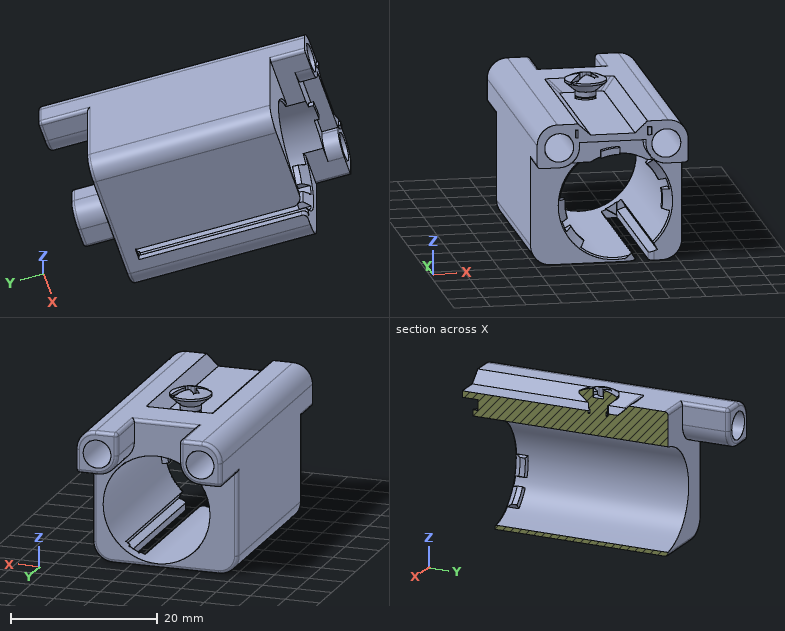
import cadquery as cq
import math

block_width = 21.0
block_height = 20.97
corner_radius = 2.8
rail_end = 38.25
body_start = 4.95
body_end = 31.23
edge_radius = 0.5
overrun = 0.4
tolerance = 0.005

hole_x = 7.45
hole_z = 17.75
hole_radius = 2.0
front_gap = 4.63
rear_gap = 4.47
web_bottom = 18.35
recess_depth = 2.3

trough_floor_z = 19.35
trough_floor_half = 3.1
trough_slope_width = 1.75
trough_floor_end = 23.6
trough_corner_radius = 0.65
trough_depth = block_height - trough_floor_z

bore_x = 1.27
bore_z = 8.3
bore_radius = 7.7
bore_chamfer = 0.25

tooth_tip_radius = 6.8
tooth_root_radius = bore_radius + bore_chamfer
tooth_length = 1.95
tooth_angles = [(-11, 12), (24, 48), (175, 198), (209, 232)]

key_left = -1.3
key_right = bore_x
key_radius = 8.67
key_height = 0.7

slot_outline = [(4.28, 0), (2.95, 2.3), (5.95, 2.3), (5.95, 0)]
slot_wall = 2.3
slot_end = body_end - slot_wall
left_lip_radius = 1.35
right_lip_radius = 0.7
groove_outline = [(5.95, 1.08), (7.1, 1.5), (6.63, 2.4), (5.95, 3.1)]
slot_step_outline = [(4.4, 1.25), (5.95, 0.3), (5.95, 2.5)]
slot_step_depth = 0.4

screw_y = 20.6
screw_top = 22.75
head_radius = 2.9
head_rim_top = 21.97
head_rim_bottom = 21.65
neck_radius = 1.45
neck_top = 20.45
neck_bottom = 19.7
shank_radius = 1.27
clearance_depth = 0.4
drive_arm_length = 1.77
slot_side_arm_length = 1.4
drive_width = 0.85
drive_corner_radius = 0.4
drive_floor_z = 21.4
driver_slot_floor_z = 21.85

index_pads = [(-5.0, 0.3), (5.1, 0.58)]
pad_z = 19.62
pad_height = 1.08
pad_thickness = 0.3


def box(x0, x1, y0, y1, z0, z1):
    """Axis-aligned box between opposite corners."""
    return cq.Workplane("XY").box(x1 - x0, y1 - y0, z1 - z0, centered=False).translate((x0, y0, z0))


def at_y(y):
    """Sketch plane across the part; local x, y are the part's X, Z and -Y is its normal."""
    return cq.Workplane(cq.Plane((0, y, 0), xDir=(1, 0, 0), normal=(0, -1, 0)))


def rod(x, z, radius, y0, y1):
    """Cylinder along Y."""
    return at_y(y0).center(x, z).circle(radius).extrude(y0 - y1)


def cone(start_radius, end_radius, length, y0):
    """Truncated cone about the bore axis, starting at Y = y0."""
    return cq.Workplane(cq.Solid.makeCone(
        start_radius, end_radius, length,
        pnt=cq.Vector(bore_x, y0, bore_z), dir=cq.Vector(0, 1, 0),
    ))


def disc_sector(radius, start_angle, end_angle, y0, y1):
    """Wedge of a disc about the bore axis, from start_angle to end_angle in degrees."""
    def point(angle):
        turn = math.radians(angle)
        return (bore_x + radius * math.cos(turn), bore_z + radius * math.sin(turn))

    return (
        at_y(y0)
        .moveTo(bore_x, bore_z)
        .lineTo(*point(start_angle))
        .threePointArc(point((start_angle + end_angle) / 2), point(end_angle))
        .close()
        .extrude(y0 - y1)
    )


def rail_bottom(half_gap):
    """Lowest level of a pair of rails, where the round walls around their holes end."""
    return hole_z - (hole_x - half_gap)


def rail_gap(half_gap, y0, y1, top):
    """Space between a pair of rails, bounded by the round walls around their holes."""
    wall_radius = hole_x - half_gap
    lower = box(-hole_x, hole_x, y0, y1, rail_bottom(half_gap), hole_z)
    for x in (-hole_x, hole_x):
        lower = lower.cut(rod(x, hole_z, wall_radius, y0, y1))
    return lower.union(box(-half_gap, half_gap, y0, y1, hole_z, top))


def under_rails(half_gap, y0, y1):
    """Space below a pair of rails, wider than the block."""
    return box(-block_width, block_width, y0, y1, -overrun, rail_bottom(half_gap))


def make_block():
    block = (
        box(-block_width / 2, block_width / 2, 0, rail_end, 0, block_height)
        .edges("|Y").fillet(corner_radius)
    )
    block = block.cut(under_rails(front_gap, -overrun, body_start))
    block = block.cut(rail_gap(front_gap, -overrun, recess_depth, web_bottom))
    block = block.cut(under_rails(rear_gap, body_end, rail_end + overrun))
    block = block.cut(rail_gap(rear_gap, body_end, rail_end + overrun, block_height + overrun))
    return round_edges(block)


def round_edges(block):
    """Round the underside edges of the rails, the rear outlines and the top of the rear notch."""
    half_width = block_width / 2

    def is_rounded(edge):
        middle = edge.Center()
        size = edge.BoundingBox()
        on_rear = size.ymin > rail_end - tolerance
        on_body_rear = abs(size.ymin - body_end) < tolerance and size.ylen < tolerance
        on_outer_side = size.xmin > half_width - tolerance or size.xmax < tolerance - half_width
        on_top = size.zmin > block_height - tolerance
        is_lengthwise = size.ylen > tolerance
        along_rail = is_lengthwise and (size.ymax < body_start + tolerance or size.ymin > body_end - tolerance)
        body_outline = on_body_rear and (on_outer_side or middle.z < corner_radius or on_top)
        rail_underside = along_rail and on_outer_side and middle.z < hole_z
        notch_top = size.ymin > body_end - tolerance and on_top and abs(middle.x) < rear_gap + tolerance
        return on_rear or body_outline or rail_underside or notch_top

    chosen = [edge for edge in block.edges().vals() if is_rounded(edge)]
    return block.newObject(chosen).fillet(edge_radius)


def cut_trough(block):
    """Trough open to the front, with sloped sides and a sloped rear end."""
    floor_width = 2 * trough_floor_half
    top_width = floor_width + 2 * trough_slope_width
    top_end = trough_floor_end + trough_slope_width
    trough = (
        cq.Workplane("XY").workplane(offset=block_height)
        .rect(top_width, 2 * top_end)
        .workplane(offset=-trough_depth)
        .rect(floor_width, 2 * trough_floor_end)
        .loft(ruled=True)
    )
    sloped_corners = trough.edges("not(#Z or |X or |Y)")
    return block.cut(sloped_corners.fillet(trough_corner_radius))


def cut_bore(block):
    """Through bore with a chamfered rim on the front face of the body and a raised key at its top."""
    key_front = recess_depth - key_height
    key = rod(bore_x, bore_z, key_radius, key_front, recess_depth)
    key_sides = box(key_left, key_right, key_front, recess_depth, bore_z, block_height)
    block = block.union(key.intersect(key_sides))
    block = block.cut(rod(bore_x, bore_z, bore_radius, -overrun, body_end + overrun))
    rim = cone(tooth_root_radius, bore_radius, bore_chamfer, body_start)
    below_rails = box(-block_width, block_width, 0, rail_end, 0, rail_bottom(front_gap))
    return block.cut(rim.intersect(below_rails))


def make_tooth(angles):
    """Ramped tooth that starts at the front face of the body."""
    ramp = tooth_root_radius - tooth_tip_radius
    tooth_end = body_start + tooth_length
    opening = cone(tooth_root_radius, tooth_tip_radius, ramp, body_start)
    opening = opening.union(rod(bore_x, bore_z, tooth_tip_radius, body_start + ramp, tooth_end))
    return disc_sector(tooth_root_radius, *angles, body_start, tooth_end).cut(opening)


def add_teeth(block):
    for angles in tooth_angles:
        block = block.union(make_tooth(angles))
    return block


def cut_slot(block):
    """Slot through the underside, with the front edges of its two lips rounded."""
    slot = at_y(body_start).polyline(slot_outline).close().extrude(body_start - slot_end)
    block = block.cut(slot)
    for (x0, z0), (x1, z1), radius in (
        (slot_outline[0], slot_outline[1], left_lip_radius),
        (slot_outline[2], slot_outline[3], right_lip_radius),
    ):
        lip_middle = ((x0 + x1) / 2, body_start, (z0 + z1) / 2)
        block = block.edges(cq.selectors.NearestToPointSelector(lip_middle)).fillet(radius)
    return block


def cut_groove(block):
    """Groove along the right lip of the slot and a shallow step in the slot's end wall."""
    groove = at_y(body_start).polyline(groove_outline).close().extrude(body_start - slot_end)
    step = at_y(slot_end).polyline(slot_step_outline).close().extrude(-slot_step_depth)
    return block.cut(groove).cut(step)


def make_screw():
    """Screw with a domed countersunk head, a cross recess and one straight driver slot."""
    foot = trough_floor_z - clearance_depth - overrun
    dome_middle_radius = head_radius / 2
    dome_height = screw_top - head_rim_top
    dome_radius = (head_radius ** 2 + dome_height ** 2) / (2 * dome_height)
    dome_drop = dome_radius - math.sqrt(dome_radius ** 2 - dome_middle_radius ** 2)
    profile = (
        cq.Workplane("XZ")
        .moveTo(0, foot)
        .lineTo(shank_radius, foot)
        .lineTo(shank_radius, neck_bottom - (neck_radius - shank_radius))
        .lineTo(neck_radius, neck_bottom)
        .lineTo(neck_radius, neck_top)
        .lineTo(head_radius, head_rim_bottom)
        .lineTo(head_radius, head_rim_top)
        .threePointArc((dome_middle_radius, screw_top - dome_drop), (0, screw_top))
        .close()
    )
    screw = profile.revolve(360, (0, 0), (0, 1))
    cross = (
        box(-slot_side_arm_length, slot_side_arm_length, -drive_width / 2, drive_width / 2,
            drive_floor_z, screw_top)
        .union(box(-drive_width / 2, drive_width / 2, -drive_arm_length, drive_arm_length,
                   drive_floor_z, screw_top))
    )
    inner_corners = cq.selectors.BoxSelector(
        (-drive_width, -drive_width, 0), (drive_width, drive_width, 2 * screw_top))
    cross = cross.edges("|Z").edges(inner_corners).fillet(drive_corner_radius)
    driver_slot = box(-head_radius, head_radius, -drive_width / 2, drive_width / 2,
                      driver_slot_floor_z, screw_top)
    screw = screw.cut(cross).cut(driver_slot)
    return screw.rotate((0, 0, 0), (0, 0, 1), 45).translate((0, screw_y, 0))


def add_screw(block):
    clearance = (
        cq.Workplane("XY").workplane(offset=trough_floor_z - clearance_depth)
        .center(0, screw_y).circle(neck_radius).extrude(clearance_depth)
    )
    return block.cut(clearance).union(make_screw())


def add_index_pads(block):
    for x, width in index_pads:
        pad = box(x - width / 2, x + width / 2, -pad_thickness, 0,
                  pad_z - pad_height / 2, pad_z + pad_height / 2)
        block = block.union(pad)
    return block


result = make_block()
result = cut_trough(result)
for side in (-1, 1):
    result = result.cut(rod(side * hole_x, hole_z, hole_radius, -overrun, rail_end + overrun))
result = cut_slot(result)
result = cut_bore(result)
result = add_teeth(result)
result = cut_groove(result)
result = add_screw(result)
result = add_index_pads(result)